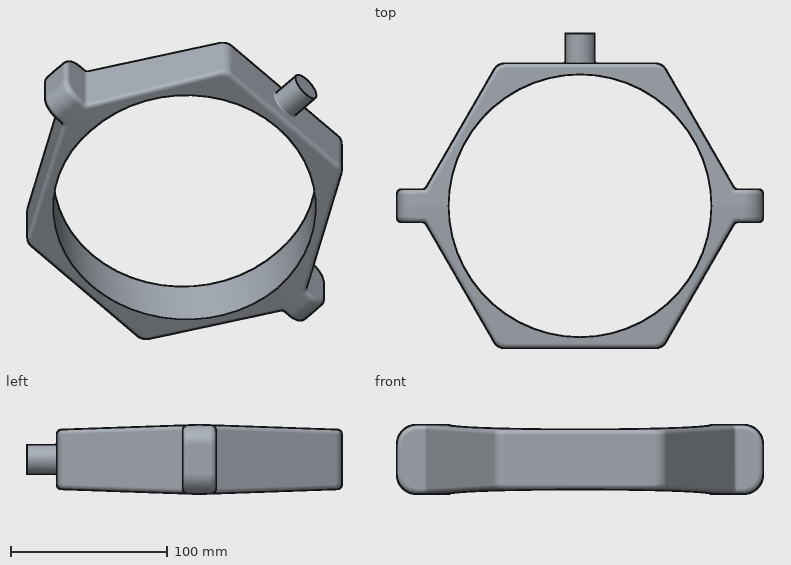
import cadquery as cq
import math

bore_diameter = 168.275
across_flats = 182.88
overall_length = 234.95
ridge_height = 44.61
face_slope = 2.0
hex_corner_radius = 8.255
edge_radius = 3.175

lug_width = 21.336
lug_end_radius = 12.7
lug_root_radius = 2.54

peg_diameter = 19.05
peg_length = 19.05
peg_root_radius = 1.0

select_margin = 1.0

half_flats = across_flats / 2
half_length = overall_length / 2
half_ridge = ridge_height / 2
rim_half_height = half_ridge - half_flats * math.tan(math.radians(face_slope))
hex_diameter = across_flats / math.cos(math.radians(30))
hex_corner_x = hex_diameter / 4
lug_root_x = hex_diameter / 2 - lug_width / 2 * math.tan(math.radians(30))


def round_upright_edges(body, x, radius):
    """Round the vertical edges that stand at the given X."""
    slab = cq.selectors.BoxSelector(
        (x - select_margin, -half_length, -select_margin),
        (x + select_margin, half_length, select_margin),
    )
    return body.edges("|Z").edges(slab).fillet(radius)


def hexagon_with_lugs():
    """Hexagonal prism with a lug on each X corner and rounded vertical edges."""
    hexagon = cq.Workplane("XY").polygon(6, hex_diameter).extrude(half_ridge, both=True)
    lugs = cq.Workplane("XY").rect(overall_length, lug_width).extrude(half_ridge, both=True)
    body = hexagon.union(lugs)
    for side in (-1, 1):
        body = round_upright_edges(body, side * hex_corner_x, hex_corner_radius)
        body = round_upright_edges(body, side * lug_root_x, lug_root_radius)
    return body


def sloped_envelope():
    """Long prism, highest on the Y = 0 ridge and thinner toward both flats."""
    return (
        cq.Workplane("YZ")
        .polyline([
            (-half_flats, -rim_half_height),
            (0, -half_ridge),
            (half_flats, -rim_half_height),
            (half_flats, rim_half_height),
            (0, half_ridge),
            (-half_flats, rim_half_height),
        ])
        .close()
        .extrude(half_length, both=True)
    )


def rounded_body():
    """Sloped body with rounded lug ends and rounded outer rims."""
    body = hexagon_with_lugs().intersect(sloped_envelope())
    for lug_tip in ("<X", ">X"):
        body = body.faces(lug_tip).edges("not |Z").fillet(lug_end_radius)
    for flat in ("<Y", ">Y"):
        body = body.faces(flat).edges(">Z").fillet(edge_radius)
    return body


def bore():
    """Cylinder that opens the ring through its full height."""
    return cq.Workplane("XY").circle(bore_diameter / 2).extrude(half_ridge, both=True)


def add_peg(body):
    """Round peg on the +Y flat, with a small fillet at its root."""
    peg = (
        cq.Workplane("XZ", origin=(0, half_flats, 0))
        .circle(peg_diameter / 2)
        .extrude(-peg_length)
    )
    root_zone = cq.selectors.BoxSelector(
        (-peg_diameter, half_flats - select_margin, -peg_diameter),
        (peg_diameter, half_flats + select_margin, peg_diameter),
    )
    return body.union(peg).edges("%CIRCLE").edges(root_zone).fillet(peg_root_radius)


result = add_peg(rounded_body().cut(bore()))